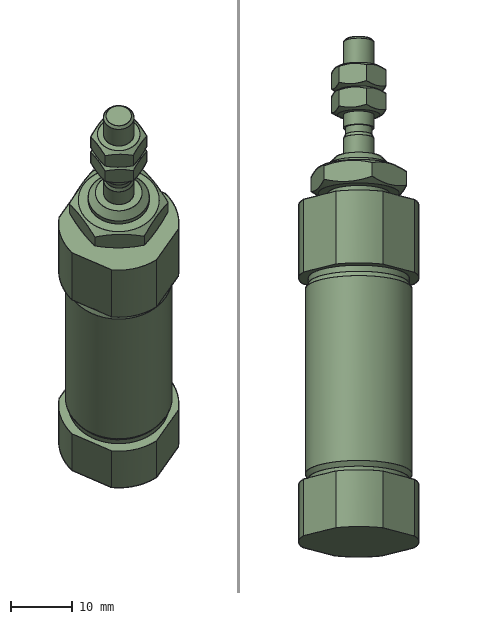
import cadquery as cq
import math

cover_width = 18.3
cover_diameter = 19.7
cap_top = 9.6
head_bottom = 44.6
head_top = 56.95
tube_diameter = 17.5
groove_diameter = 16.6
groove_height = 1.0
taper_height = 0.85

neck_diameter = 10.0
neck_top = 64.9
neck_chamfer = 1.2
mounting_nut_flats = 14.0
mounting_nut_face = 13.3
mounting_nut_height = 4.0
mounting_nut_bottom = 59.0

rod_diameter = 5.0
rod_top = 85.0
rod_bottom = head_bottom
rod_tip_diameter = 4.2
rod_tip_height = 0.4
relief_diameter = 4.4
relief_bottom = 68.85
relief_top = 70.0
relief_taper_height = 0.6
lock_nut_flats = 8.0
lock_nut_face = 7.0
lock_nut_height = 4.0
lock_nut_bottom = 72.25
lock_nut_count = 2

nut_bevel_angle = math.radians(30)


def cylinder(diameter, bottom, top):
    """Upright cylinder between two heights."""
    return cq.Workplane("XY").workplane(offset=bottom).circle(diameter / 2).extrude(top - bottom)


def turned(profile):
    """Solid turned about Z from (radius, height) points, starting and ending on the axis."""
    return cq.Workplane("XZ").polyline(profile).close().revolve(360, (0, 0), (0, 1))


def hex_nut(flats, face_diameter, bottom, height):
    """Hexagon with corners along Y, its corners bevelled conically on both faces."""
    corner_diameter = flats / math.cos(math.pi / 6)
    hexagon = (
        cq.Workplane("XY").workplane(offset=bottom)
        .transformed(rotate=(0, 0, 90))
        .polygon(6, corner_diameter)
        .extrude(height)
    )
    face_radius = face_diameter / 2
    corner_radius = corner_diameter / 2
    bevel_height = (corner_radius - face_radius) * math.tan(nut_bevel_angle)
    top = bottom + height
    envelope = turned([
        (0, bottom),
        (face_radius, bottom),
        (corner_radius, bottom + bevel_height),
        (corner_radius, top - bevel_height),
        (face_radius, top),
        (0, top),
    ])
    return hexagon.intersect(envelope)


def cover(bottom, top):
    """Round cover with four flats."""
    square = (
        cq.Workplane("XY").workplane(offset=bottom)
        .rect(cover_width, cover_width)
        .extrude(top - bottom)
    )
    return cylinder(cover_diameter, bottom, top).intersect(square)


def tube():
    """Tube with a tapered shoulder and a waist at each end."""
    waist_radius = groove_diameter / 2
    tube_radius = tube_diameter / 2
    lower_shoulder = cap_top + groove_height
    upper_shoulder = head_bottom - groove_height
    return turned([
        (0, cap_top),
        (waist_radius, cap_top),
        (waist_radius, lower_shoulder),
        (tube_radius, lower_shoulder + taper_height),
        (tube_radius, upper_shoulder - taper_height),
        (waist_radius, upper_shoulder),
        (waist_radius, head_bottom),
        (0, head_bottom),
    ])


def make_housing():
    neck = cylinder(neck_diameter, head_top, neck_top).faces(">Z").chamfer(neck_chamfer)
    mounting_nut = hex_nut(
        mounting_nut_flats, mounting_nut_face, mounting_nut_bottom, mounting_nut_height
    )
    body = (
        cover(0, cap_top)
        .union(tube())
        .union(cover(head_bottom, head_top))
        .union(neck)
        .union(mounting_nut)
    )
    rod_bore = cylinder(rod_diameter, rod_bottom, neck_top)
    return body.cut(rod_bore)


def make_piston_rod():
    rod_radius = rod_diameter / 2
    tip_radius = rod_tip_diameter / 2
    relief_radius = relief_diameter / 2
    rod = turned([
        (0, rod_bottom),
        (rod_radius, rod_bottom),
        (rod_radius, relief_bottom - relief_taper_height),
        (relief_radius, relief_bottom),
        (relief_radius, relief_top),
        (rod_radius, relief_top),
        (rod_radius, rod_top - rod_tip_height),
        (tip_radius, rod_top),
        (0, rod_top),
    ])
    for index in range(lock_nut_count):
        nut_bottom = lock_nut_bottom + index * lock_nut_height
        rod = rod.union(hex_nut(lock_nut_flats, lock_nut_face, nut_bottom, lock_nut_height))
    return rod


housing = make_housing()
piston_rod = make_piston_rod()

result = cq.Compound.makeCompound([housing.val(), piston_rod.val()])